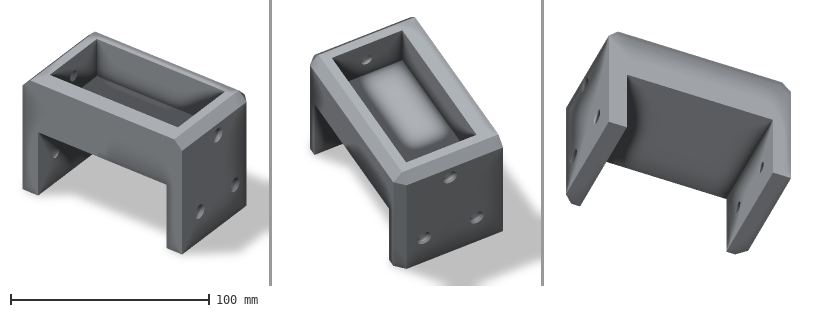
import cadquery as cq

length = 100.0
depth = 60.0
height = 68.0
wall = 9.9
edge_chamfer = 5.0

leg_height = 38.5
floor_thickness = 7.0

hole_diameter = 6.0
hole_chamfer = 1.0
leg_hole_spacing = 30.0
leg_hole_height = 18.0
pocket_hole_height = 56.2
pocket_hole_setback = 30.3

inner_length = length - 2 * wall
pocket_floor = leg_height + floor_thickness


def box_from(x_size, y_size, z_size, y_start=0.0, z_start=0.0):
    """Box centred in X, starting at the given Y and Z."""
    box = cq.Workplane("XY").box(x_size, y_size, z_size, centered=(True, False, False))
    return box.translate((0, y_start, z_start))


def screw_hole(y, z):
    """Cutter along X through both end walls, flared at the outer faces."""
    shaft = (
        cq.Workplane("YZ", origin=(-length / 2, y, z))
        .circle(hole_diameter / 2)
        .extrude(length)
    )
    for side in (-1, 1):
        flare = cq.Solid.makeCone(
            hole_diameter / 2 + hole_chamfer,
            hole_diameter / 2,
            hole_chamfer,
            pnt=cq.Vector(side * length / 2, y, z),
            dir=cq.Vector(-side, 0, 0),
        )
        shaft = shaft.union(cq.Workplane(obj=flare))
    return shaft


body = box_from(length, depth, height)
body = body.edges("(>Z and |Y) or (>Z and >Y) or (>Y and |Z)").chamfer(edge_chamfer)

body = body.cut(box_from(inner_length, depth, leg_height))

body = body.cut(box_from(inner_length, depth - 2 * wall, height - pocket_floor, wall, pocket_floor))

mid_depth = depth / 2
hole_positions = [
    (pocket_hole_setback, pocket_hole_height),
    (mid_depth - leg_hole_spacing / 2, leg_hole_height),
    (mid_depth + leg_hole_spacing / 2, leg_hole_height),
]
for hole_y, hole_z in hole_positions:
    body = body.cut(screw_hole(hole_y, hole_z))

result = body